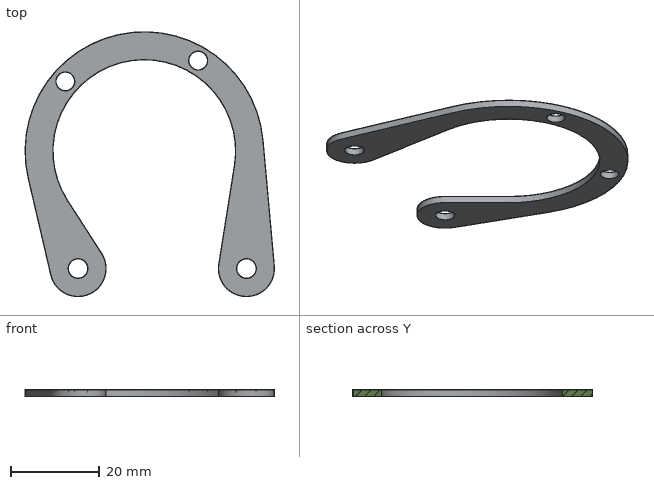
import cadquery as cq
import math

thickness = 1.59
ring_outer_radius = 26.99
ring_inner_radius = 20.64
lug_radius = 6.35

lug_spacing = 38.1
right_lug_x = 23.11
lug_y = -26.59
right_lug = (right_lug_x, lug_y)
left_lug = (right_lug_x - lug_spacing, lug_y)

lug_hole_diameter = 4.37
ring_hole_diameter = 4.19
ring_hole_radius = (ring_outer_radius + ring_inner_radius) / 2
ring_hole_angles = (59.2, 138.6)

top_angle = math.pi / 2
bottom_angle = -math.pi / 2


def point_on(centre, radius, angle):
    """Point on a circle at the given angle in radians."""
    return (centre[0] + radius * math.cos(angle), centre[1] + radius * math.sin(angle))


def outer_tangent(lug, side):
    """Tangent points on the ring's outer circle and on the lug, both on the same side of the line."""
    distance = math.hypot(*lug)
    direction = math.atan2(lug[1], lug[0])
    angle = direction + side * math.acos((ring_outer_radius - lug_radius) / distance)
    return point_on((0, 0), ring_outer_radius, angle), point_on(lug, lug_radius, angle)


def inner_tangent(lug, side):
    """Tangent points on the ring's inner circle and on the lug, on opposite sides of the line."""
    distance = math.hypot(*lug)
    direction = math.atan2(lug[1], lug[0])
    angle = direction + side * math.acos((ring_inner_radius + lug_radius) / distance)
    return point_on((0, 0), ring_inner_radius, angle), point_on(lug, lug_radius, angle + math.pi)


def make_plate():
    """Ring and legs as one outline of arcs joined by tangent lines."""
    right_outer_ring, right_outer_lug = outer_tangent(right_lug, 1)
    left_outer_ring, left_outer_lug = outer_tangent(left_lug, -1)
    right_inner_ring, right_inner_lug = inner_tangent(right_lug, 1)
    left_inner_ring, left_inner_lug = inner_tangent(left_lug, -1)
    return (
        cq.Workplane("XY")
        .moveTo(*right_outer_ring)
        .threePointArc(point_on((0, 0), ring_outer_radius, top_angle), left_outer_ring)
        .lineTo(*left_outer_lug)
        .threePointArc(point_on(left_lug, lug_radius, bottom_angle), left_inner_lug)
        .lineTo(*left_inner_ring)
        .threePointArc(point_on((0, 0), ring_inner_radius, top_angle), right_inner_ring)
        .lineTo(*right_inner_lug)
        .threePointArc(point_on(right_lug, lug_radius, bottom_angle), right_outer_lug)
        .close()
        .extrude(thickness)
    )


def drill(plate, centres, diameter):
    """Cut round through holes at the given centres."""
    cutters = cq.Workplane("XY").pushPoints(centres).circle(diameter / 2).extrude(thickness)
    return plate.cut(cutters)


ring_hole_centres = [
    point_on((0, 0), ring_hole_radius, math.radians(angle)) for angle in ring_hole_angles
]

plate = make_plate()
plate = drill(plate, [left_lug, right_lug], lug_hole_diameter)
result = drill(plate, ring_hole_centres, ring_hole_diameter)